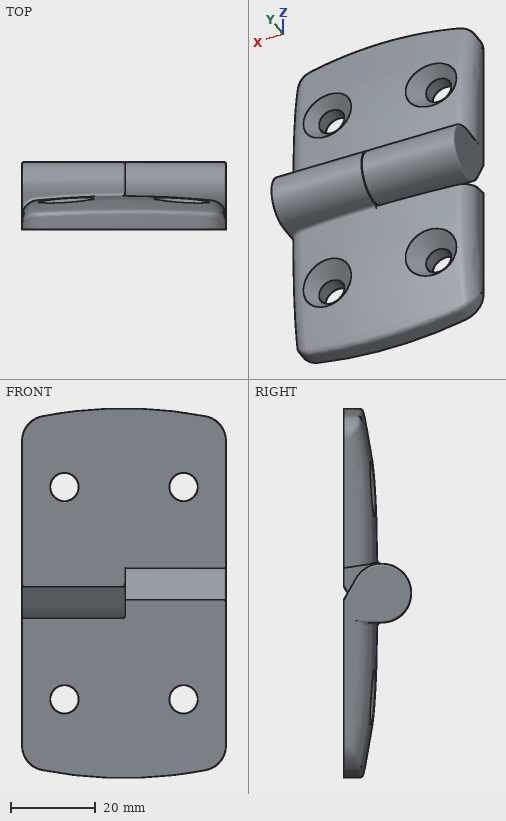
import cadquery as cq
import math

WIDTH = 48.0
HALF_WIDTH = WIDTH / 2
HALF_LENGTH = 43.5
END_ARC_RADIUS = 100.05
CORNER_RADIUS = 6.0

DOME_HEIGHT = 7.9
CROWN_RADIUS = 208.8
BOW_START_Z = 8.3
MIDDLE_BOW_RADIUS = 261.0
END_BOW_RADIUS = 100.05
END_BOW_SWEEP = 20.0
SIDE_ROUND = 4.0
END_ROUND = 1.2

DEPTH = 15.9
KNUCKLE_RADIUS = 7.0
AXIS_Y = DEPTH - KNUCKLE_RADIUS
RAMP_Z = 1.6
KNUCKLE_END_ROUND = 0.5
KNUCKLE_ROOT_ROUND = 0.9
SEAM_X = 0.3

RECESS_Z = 5.9
RECESS_SLOPE = 0.15
RECESS_OUTER_ROUND = 0.3
UPPER_RECESS_CORNER = 0.2
LOWER_RECESS_CORNER = 0.7

HOLE_X = 14.0
HOLE_Z = 25.0
HOLE_DIAMETER = 6.6
SINK_DIAMETER = 13.05

PLATE_BOTTOM_Z = 4.35
MARGIN = 4.35
PICK = 0.1


def arc_height(offset, radius):
    """Height of a dome arc at a distance from its highest point."""
    return DOME_HEIGHT - radius + math.sqrt(radius**2 - offset**2)


def outline_prism():
    """Leaf outline: straight sides, a shallow arc at the end and rounded corners."""
    corner_z = HALF_LENGTH - END_ARC_RADIUS + math.sqrt(END_ARC_RADIUS**2 - HALF_WIDTH**2)
    return (
        cq.Workplane("XZ")
        .moveTo(-HALF_WIDTH, PLATE_BOTTOM_Z)
        .lineTo(HALF_WIDTH, PLATE_BOTTOM_Z)
        .lineTo(HALF_WIDTH, corner_z)
        .threePointArc((0, HALF_LENGTH), (-HALF_WIDTH, corner_z))
        .close()
        .extrude(-DEPTH)
        .edges("|Y")
        .edges(">Z")
        .fillet(CORNER_RADIUS)
    )


def bend(previous, axis_y, axis_z, sweep):
    """Continues a dome section by turning the top face of the previous stretch about an X axis."""
    section = previous.faces(">Z").val()
    axis_start = cq.Vector(0, axis_y, axis_z)
    axis_end = cq.Vector(0.9, axis_y, axis_z)
    return cq.Workplane(cq.Solid.revolve(section, sweep, axis_start, axis_end))


def dome():
    """Crowned section with rounded sides: straight at the hinge, then bent by two tangent arcs."""
    crown_edge_y = arc_height(HALF_WIDTH, CROWN_RADIUS)
    straight = (
        cq.Workplane("XY", origin=(0, 0, PLATE_BOTTOM_Z))
        .moveTo(-HALF_WIDTH, 0)
        .lineTo(HALF_WIDTH, 0)
        .lineTo(HALF_WIDTH, crown_edge_y)
        .threePointArc((0, DOME_HEIGHT), (-HALF_WIDTH, crown_edge_y))
        .close()
        .extrude(BOW_START_Z - PLATE_BOTTOM_Z)
        .edges("|Z")
        .edges(">Y")
        .fillet(SIDE_ROUND)
    )
    middle_axis_y = DOME_HEIGHT - MIDDLE_BOW_RADIUS
    middle_sweep = math.asin((HOLE_Z - BOW_START_Z) / MIDDLE_BOW_RADIUS)
    axis_shift = MIDDLE_BOW_RADIUS - END_BOW_RADIUS
    end_axis_y = middle_axis_y + axis_shift * math.cos(middle_sweep)
    end_axis_z = BOW_START_Z + axis_shift * math.sin(middle_sweep)
    middle = bend(straight, middle_axis_y, BOW_START_Z, math.degrees(middle_sweep))
    end = bend(middle, end_axis_y, end_axis_z, END_BOW_SWEEP)
    return straight.union(middle).union(end)


def recess_cutter(seam_x, corner_round):
    """Space below a slanted plane, beside the knuckle, for the knuckle of the other leaf."""
    def slant_z(y):
        return RECESS_Z + RECESS_SLOPE * y

    front_y = -MARGIN
    back_y = DEPTH + MARGIN
    return (
        cq.Workplane("YZ", origin=(seam_x, 0, 0))
        .moveTo(front_y, slant_z(front_y))
        .lineTo(back_y, slant_z(back_y))
        .lineTo(back_y, -DEPTH)
        .lineTo(front_y, -DEPTH)
        .close()
        .extrude(HALF_WIDTH - seam_x + MARGIN)
        .faces(">Z")
        .edges("<X")
        .fillet(corner_round)
    )


def plate():
    """Domed plate with its outer end edge rounded."""
    end_edge = cq.selectors.BoxSelector((-17.4, 3.5, 40), (17.4, 7.8, 45.2))
    return outline_prism().intersect(dome()).edges(end_edge).fillet(END_ROUND)


def knuckle(seam_x, inner_round):
    """Round barrel with a flat top and a ramp that runs tangent from the mounting face."""
    foot_distance = math.hypot(AXIS_Y, RAMP_Z)
    tangent_angle = math.atan2(RAMP_Z, -AXIS_Y) + math.acos(KNUCKLE_RADIUS / foot_distance)
    tangent_y = AXIS_Y + KNUCKLE_RADIUS * math.cos(tangent_angle)
    tangent_z = KNUCKLE_RADIUS * math.sin(tangent_angle)
    barrel = (
        cq.Workplane("YZ", origin=(-HALF_WIDTH, 0, 0))
        .moveTo(0, RAMP_Z)
        .lineTo(tangent_y, tangent_z)
        .threePointArc((DEPTH, 0), (AXIS_Y, KNUCKLE_RADIUS))
        .lineTo(0, KNUCKLE_RADIUS)
        .close()
        .extrude(HALF_WIDTH + seam_x)
    )
    around_ends = cq.selectors.BoxSelector((-WIDTH, PICK, -DEPTH), (WIDTH, DEPTH, DEPTH))
    barrel = barrel.faces("<X").edges(around_ends).fillet(KNUCKLE_END_ROUND)
    if inner_round:
        barrel = barrel.faces(">X").edges(around_ends).fillet(KNUCKLE_END_ROUND)
    return barrel


def screw_hole(x):
    """Through hole with a 90 degree countersink that opens to its full width at the dome."""
    hole_radius = HOLE_DIAMETER / 2
    sink_radius = SINK_DIAMETER / 2
    crown_drop = DOME_HEIGHT - arc_height(x, CROWN_RADIUS)
    rim_y = arc_height(HOLE_Z - BOW_START_Z, MIDDLE_BOW_RADIUS) - crown_drop
    cone_y = rim_y - (sink_radius - hole_radius)
    return (
        cq.Workplane("XY", origin=(x, 0, HOLE_Z))
        .moveTo(0, -MARGIN)
        .lineTo(hole_radius, -MARGIN)
        .lineTo(hole_radius, cone_y)
        .lineTo(sink_radius + MARGIN, rim_y + MARGIN)
        .lineTo(0, rim_y + MARGIN)
        .close()
        .revolve(360, (0, 0, 0), (0, 1, 0))
    )


def root_edges(seam_x):
    """Selects the inner corner between the dome and the flat top of the knuckle."""
    low = (-HALF_WIDTH, SIDE_ROUND, KNUCKLE_RADIUS - PICK)
    high = (seam_x + PICK, AXIS_Y - 0.4, KNUCKLE_RADIUS + PICK)
    return cq.selectors.BoxSelector(low, high, boundingbox=True)


def recess_end_edge():
    """Selects the outer end edge of the recess on the side of the leaf."""
    low = (HALF_WIDTH - PICK, -0.9, RECESS_Z - PICK)
    high = (HALF_WIDTH + PICK, 2.6, RECESS_Z + 0.5)
    return cq.selectors.BoxSelector(low, high)


def leaf(seam_x, recess_corner, inner_round):
    """One hinge leaf that points up, with its knuckle on the -X half and its recess on the +X half."""
    body = plate().union(knuckle(seam_x, inner_round))
    body = body.edges(root_edges(seam_x)).fillet(KNUCKLE_ROOT_ROUND)
    body = body.cut(recess_cutter(seam_x, recess_corner))
    body = body.edges(recess_end_edge()).fillet(RECESS_OUTER_ROUND)
    for x in (-HOLE_X, HOLE_X):
        body = body.cut(screw_hole(x))
    return body


upper_leaf = leaf(SEAM_X, UPPER_RECESS_CORNER, True)
lower_leaf = leaf(-SEAM_X, LOWER_RECESS_CORNER, False).rotate((0, 0, 0), (0, 1, 0), 180)
result = cq.Compound.makeCompound([upper_leaf.val(), lower_leaf.val()])